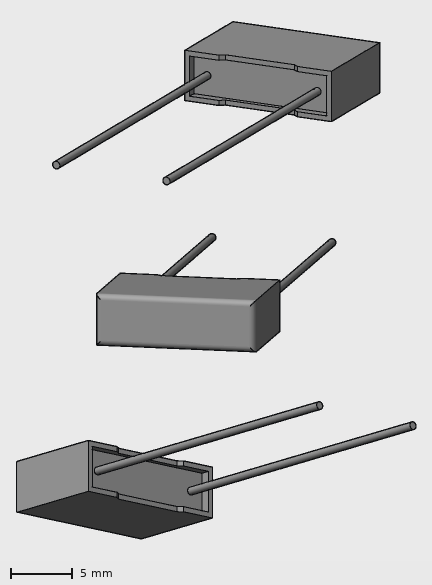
import cadquery as cq

total_length = 36.3
case_width = 13.3
case_length = 9.3
case_height = 4.3
wall = 0.45
back_fillet = 0.47

relief_depth = 0.33
relief_rim_width = 7.1
relief_floor_width = 6.25

resin_setback = 0.8

lead_spacing = 10.0
lead_diameter = 0.65

back_y = total_length / 2
rim_y = back_y - case_length
resin_front_y = rim_y + resin_setback
cavity_end_y = back_y - wall
lead_tip_y = -total_length / 2

cavity_width = case_width - 2 * wall
cavity_height = case_height - 2 * wall
lead_positions = [-lead_spacing / 2, lead_spacing / 2]


def block(width, height, start_y, end_y):
    """Box centred on X and Z that spans from start_y to end_y."""
    length = end_y - start_y
    return cq.Workplane("XY").box(width, length, height).translate((0, start_y + length / 2, 0))


def rim_relief():
    """Trapezoidal cutter that crosses the full case height at the open rim."""
    return (
        cq.Workplane("XY")
        .polyline([
            (-relief_rim_width / 2, rim_y),
            (relief_rim_width / 2, rim_y),
            (relief_floor_width / 2, rim_y + relief_depth),
            (-relief_floor_width / 2, rim_y + relief_depth),
        ])
        .close()
        .extrude(case_height / 2, both=True)
    )


def make_case():
    """Box with rounded back edges, open at the -Y end."""
    outside = block(case_width, case_height, rim_y, back_y).faces(">Y").edges().fillet(back_fillet)
    cavity = block(cavity_width, cavity_height, rim_y, cavity_end_y)
    return outside.cut(cavity).cut(rim_relief())


def make_lead(x):
    """Round wire that ends flush against the resin face."""
    lead_length = resin_front_y - lead_tip_y
    return cq.Workplane("XZ", origin=(x, resin_front_y, 0)).circle(lead_diameter / 2).extrude(lead_length)


case = make_case()
resin = block(cavity_width, cavity_height, resin_front_y, cavity_end_y)
leads = [make_lead(x) for x in lead_positions]

result = cq.Compound.makeCompound([case.val(), resin.val(), *[lead.val() for lead in leads]])